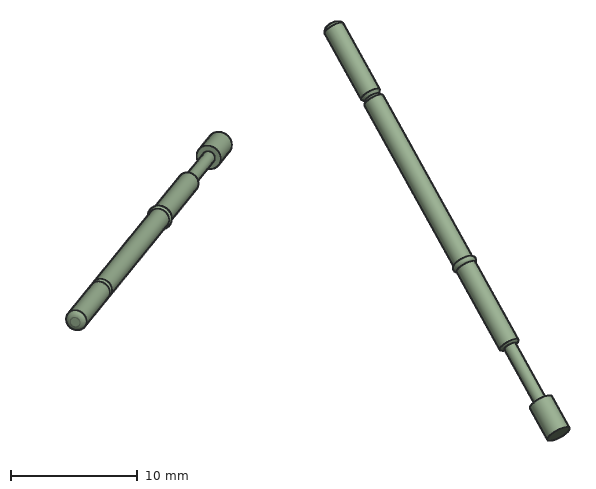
import cadquery as cq

TOTAL_LENGTH = 38.7

HEAD_RADIUS = 1.0
HEAD_LENGTH = 3.0
STEM_RADIUS = 0.52
STEM_LENGTH = 5.28

BARREL_RADIUS = 0.85
BARREL_LENGTH = TOTAL_LENGTH - HEAD_LENGTH - STEM_LENGTH

MOUTH_LENGTH = 0.15
MOUTH_MID_RADIUS = 0.75
MOUTH_MID_INSET = 0.06

REAR_LENGTH = 0.37
REAR_FLAT_RADIUS = 0.4
REAR_MID_RADIUS = 0.69
REAR_MID_STATION = 0.12

RING_RADIUS = 1.0
RING_WIDTH = 0.5
RING_STATION = 22.65

GROOVE_WIDTH = 0.56
GROOVE_DEPTH = 0.22
GROOVE_STATION = 6.88


def turned(profile):
    """Revolve a closed (radius, station) profile about the Y axis."""
    return profile.revolve(360, (0, 0, 0), (0, 1, 0))


def cylinder(radius, start, length):
    """Solid cylinder along the Y axis, beginning at the start station."""
    end = start + length
    return turned(cq.Workplane("XY").polyline([(0, start), (radius, start), (radius, end), (0, end)]).close())


def make_plunger():
    """Stem with the larger cylindrical contact head."""
    stem = cylinder(STEM_RADIUS, BARREL_LENGTH, STEM_LENGTH)
    head = cylinder(HEAD_RADIUS, BARREL_LENGTH + STEM_LENGTH, HEAD_LENGTH)
    return stem.union(head)


def make_barrel():
    """Barrel with rounded rear and mouth ends."""
    return turned(
        cq.Workplane("XY")
        .lineTo(REAR_FLAT_RADIUS, 0)
        .threePointArc((REAR_MID_RADIUS, REAR_MID_STATION), (BARREL_RADIUS, REAR_LENGTH))
        .lineTo(BARREL_RADIUS, BARREL_LENGTH - MOUTH_LENGTH)
        .threePointArc((MOUTH_MID_RADIUS, BARREL_LENGTH - MOUTH_MID_INSET), (STEM_RADIUS, BARREL_LENGTH))
        .lineTo(0, BARREL_LENGTH)
        .close()
    )


def make_ring():
    """Press ring with a rounded crown."""
    rear = RING_STATION - RING_WIDTH / 2
    front = RING_STATION + RING_WIDTH / 2
    return turned(
        cq.Workplane("XY")
        .moveTo(0, rear)
        .lineTo(BARREL_RADIUS, rear)
        .threePointArc((RING_RADIUS, RING_STATION), (BARREL_RADIUS, front))
        .lineTo(0, front)
        .close()
    )


def make_groove():
    """V-shaped ring of material removed by the crimp groove."""
    rear = GROOVE_STATION - GROOVE_WIDTH / 2
    front = GROOVE_STATION + GROOVE_WIDTH / 2
    bottom_radius = BARREL_RADIUS - GROOVE_DEPTH
    return turned(
        cq.Workplane("XY")
        .polyline([(BARREL_RADIUS, rear), (bottom_radius, GROOVE_STATION), (BARREL_RADIUS, front)])
        .close()
    )


result = make_barrel().union(make_ring()).cut(make_groove()).union(make_plunger())